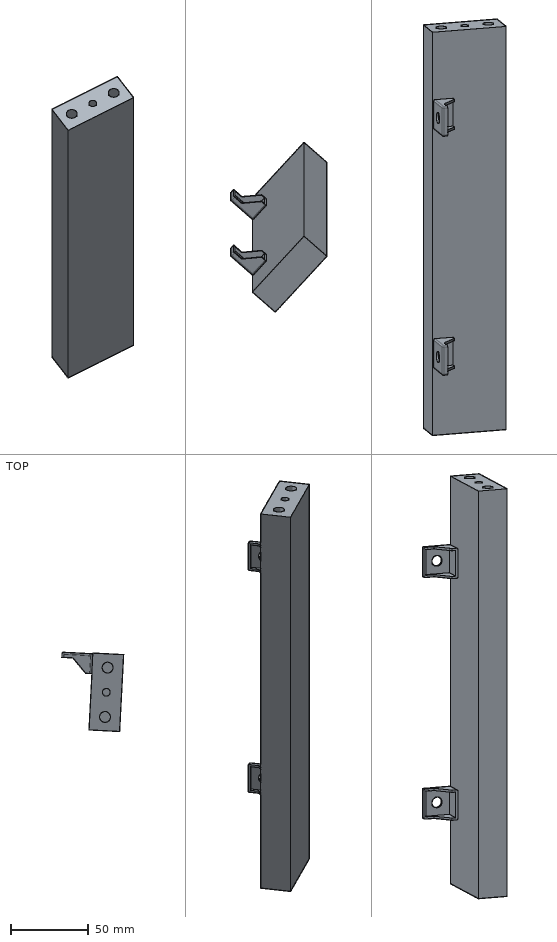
import cadquery as cq

block_width = 20.0
block_depth = 50.0
block_height = 270.0
tilt = -3.0

side_hole_diameter = 7.0
side_hole_pitch = 32.0
centre_hole_diameter = 5.0
hole_depth = 20.0

bracket_reach = 20.0
bracket_height = 20.0
bracket_depth = 13.0
bracket_setback = 0.5
plate_edge_depth = 3.5
plate_edge_length = 7.25
foot_length = 4.0
wall = 1.5
plate_thickness = 1.5
edge_radius = 1.0
screw_hole_diameter = 7.0
screw_hole_offset = 10.0
bracket_end_distance = 55.0

block_left = -block_width / 2
bracket_back = block_depth / 2 - bracket_setback
bracket_tip = block_left - bracket_reach
bracket_heights = (bracket_end_distance, block_height - bracket_end_distance)


def turned(body):
    """Turn a block-aligned body to the tilt shared by the whole assembly."""
    return body.rotate((0, 0, 0), (0, 0, 1), tilt)


def make_block():
    """Plain block with three blind holes in a row down the middle of its top face."""
    body = cq.Workplane("XY").box(block_width, block_depth, block_height, centered=(True, True, False))
    top = cq.Workplane("XY", origin=(0, 0, block_height))
    side_holes = (
        top.pushPoints([(0, -side_hole_pitch / 2), (0, side_hole_pitch / 2)])
        .circle(side_hole_diameter / 2)
        .extrude(-hole_depth)
    )
    centre_hole = top.circle(centre_hole_diameter / 2).extrude(-hole_depth)
    return turned(body.cut(side_holes).cut(centre_hole))


def make_gusset(centre_height):
    """Solid bracket shape, rounded along the back, the tip and the face on the block."""
    plate_front = bracket_back - plate_edge_depth
    foot_front = bracket_back - bracket_depth
    gusset = (
        cq.Workplane("XY", origin=(0, 0, centre_height))
        .moveTo(block_left, bracket_back)
        .lineTo(bracket_tip, bracket_back)
        .lineTo(bracket_tip, plate_front)
        .lineTo(bracket_tip + plate_edge_length, plate_front)
        .lineTo(block_left - foot_length, foot_front)
        .lineTo(block_left, foot_front)
        .close()
        .extrude(bracket_height / 2, both=True)
    )
    rounded_edges = gusset.faces(">Y or <X or >X").edges("|Y or (>Y and (|X or |Z))")
    return rounded_edges.fillet(edge_radius)


def make_bracket(centre_height):
    """Hollow gusset: back plate, wall on the block, two cheeks and a low lip at the tip."""
    pocket = cq.Workplane("XY").box(
        bracket_reach - 2 * wall, bracket_depth, bracket_height - 2 * wall, centered=(False, False, True)
    ).translate((bracket_tip + wall, bracket_back - plate_thickness - bracket_depth, centre_height))
    screw_hole = (
        cq.Workplane("XZ", origin=(bracket_tip + screw_hole_offset, bracket_back, centre_height))
        .circle(screw_hole_diameter / 2)
        .extrude(bracket_depth)
    )
    return turned(make_gusset(centre_height).cut(pocket).cut(screw_hole))


block = make_block()
brackets = [make_bracket(height) for height in bracket_heights]

result = cq.Compound.makeCompound([block.val(), *[bracket.val() for bracket in brackets]])